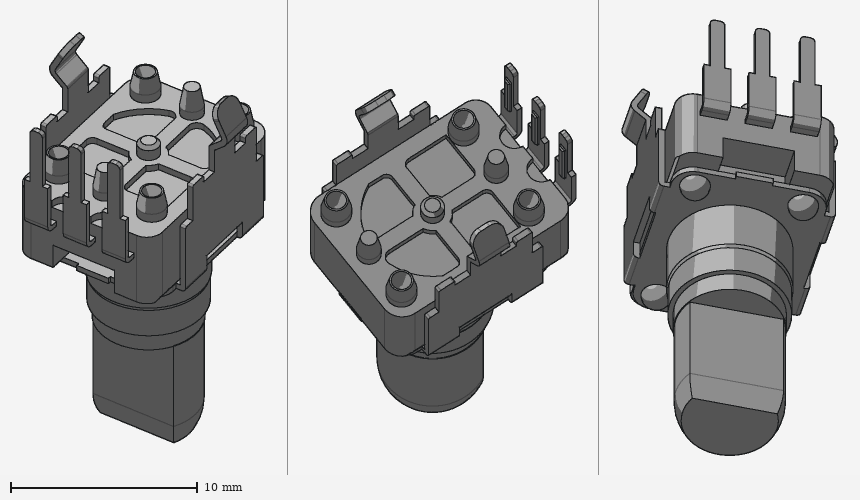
import cadquery as cq
import math


body_half_width = 4.4
body_back = 5.5
body_front = -6.3
body_top = 4.9
back_corner_radius = 1.2
front_corner_radius = 1.0
side_bevel_width = 0.15
side_bevel_height = 0.21
front_notch_half_width = 1.98
front_notch_top = 1.88
front_notch_depth = 2.0
scallop_radius = 0.79
scallop_depth = 0.45

pocket_depth = 0.4
pocket_floor = body_top - pocket_depth
rib_half_width = 0.48
pocket_outer_x = 3.43
pocket_front_y = 3.35
pocket_rim_radius = 3.85
hub_radius = 1.07
pocket_corner_radius = 0.4
pocket_rib_end_radius = 0.5

post_x = 3.0
post_y = 4.21
post_base_top = 5.45
post_radius = 0.83
post_tip_radius = 0.65
post_top = 6.4
post_pit_radius = 0.55
post_pit_depth = 0.95
peg_radius = 0.67
peg_tip_radius = 0.45
peg_top = 6.69
hub_pin_radius = 0.65
hub_pin_top = 5.78
hub_pin_chamfer = 0.21
rivet_radius = 0.83
rivet_head_height = 0.79

sheet = 0.35
plate_half_width = 4.28
plate_half_length = 5.25
plate_corner_radius = 1.2
tab_half_width = 1.02
tab_half_length = 5.45
clip_inner_x = 4.55
clip_half_length = 3.78
clip_shoulder_top = 4.45
ear_half_span = 3.1
ear_inner_y = 2.02
ear_top = 6.83
ear_root = 6.4
clip_corner_radius = 0.12
tongue_half_width = 1.0
tongue_tip_radius = 0.71
tongue_top = 10.65
knee_height = 8.05
crook_x = 5.43
crook_height = 8.8
tongue_lean = math.radians(27.4)
crook_inner_radius = 0.24
clip_foot_radius = 0.29
knee_inner_radius = 0.2
window_half_length = 1.74
window_top = 1.17

terminal_pitch = 2.5
terminal_sheet = 0.3
terminal_face_y = -7.16
terminal_bottom = 3.3
terminal_bend_radius = 0.48
terminal_wide = 1.5
terminal_narrow = 0.8
terminal_shoulder = 6.4
terminal_top = 9.97
terminal_tip_radius = 0.29
stiffener_width = 0.48
stiffener_height = 0.2
stiffener_bottom = 5.57
stiffener_top = 8.75
stiffener_chamfer = 0.1

bushing_radius = 3.4
bushing_step = 0.07
bushing_bevel_top = -3.02
bushing_bevel_bottom = -3.24
bushing_bottom = -4.97
collar_radius = 3.05
collar_bottom = -6.16
shaft_radius = 3.0
shaft_flat_y = -1.5
shaft_round_start = -11.69
overall_height = 23.8
shaft_bottom = tongue_top - overall_height

overcut = 0.24


def block(x_min, x_max, y_min, y_max, z_min, z_max):
    """Box given by its limits along each axis."""
    size = (x_max - x_min, y_max - y_min, z_max - z_min)
    return cq.Workplane("XY").box(*size, centered=False).translate((x_min, y_min, z_min))


def turned(profile, x=0.0, y=0.0):
    """Solid of revolution about a vertical axis from (radius, height) points."""
    return cq.Workplane("XZ").polyline(profile).close().revolve(360, (0, 0), (0, 1)).translate((x, y, 0))


def both_sides(solid):
    """Solid joined with its mirror image across the YZ plane."""
    return solid.union(solid.mirror("YZ"))


def make_body():
    body = block(-body_half_width, body_half_width, body_front, body_back, sheet, body_top)
    body = body.edges("|Z and >Y").fillet(back_corner_radius)
    body = body.edges("|Z and <Y").fillet(front_corner_radius)

    bevel = (
        cq.Workplane("XZ", origin=(0, body_back, 0))
        .moveTo(body_half_width, sheet)
        .lineTo(body_half_width, sheet + side_bevel_height)
        .lineTo(body_half_width - side_bevel_width, sheet)
        .close()
        .extrude(body_back - body_front)
    )
    body = body.cut(both_sides(bevel))

    notch = block(
        -front_notch_half_width, front_notch_half_width,
        body_front, body_front + front_notch_depth,
        sheet, front_notch_top,
    )
    scallops = (
        cq.Workplane("XY", origin=(0, 0, body_top - scallop_depth))
        .pushPoints([(side * terminal_pitch / 2, body_front) for side in (-1, 1)])
        .circle(scallop_radius)
        .extrude(scallop_depth)
    )
    return body.cut(notch).cut(scallops)


def make_pockets():
    """Four pockets that leave a cross of ribs with a round hub at its centre."""
    def disc(radius):
        return cq.Workplane("XY", origin=(0, 0, pocket_floor)).circle(radius).extrude(pocket_depth)

    def quadrant(y_min, y_max):
        return block(rib_half_width, pocket_outer_x, y_min, y_max, pocket_floor, body_top)

    back = quadrant(rib_half_width, pocket_rim_radius).intersect(disc(pocket_rim_radius))
    rib_end_y = math.sqrt(pocket_rim_radius**2 - rib_half_width**2)
    rib_end = cq.NearestToPointSelector((rib_half_width, rib_end_y, pocket_floor + pocket_depth / 2))
    back = back.edges(rib_end).fillet(pocket_rib_end_radius)
    back = back.edges("|Z and >X and <Y").fillet(pocket_corner_radius)

    front = quadrant(-pocket_front_y, -rib_half_width)
    front = front.edges("|Z and <X and <Y").fillet(pocket_corner_radius)
    front = front.edges("|Z and >X and >Y").fillet(pocket_corner_radius)
    return both_sides(back.union(front).cut(disc(hub_radius)))


def make_post(x, y):
    """Tapered hollow post with a conical pit in its top."""
    return turned(
        [
            (0, pocket_floor),
            (post_radius, pocket_floor),
            (post_radius, post_base_top),
            (post_tip_radius, post_top),
            (post_pit_radius, post_top),
            (0, post_top - post_pit_depth),
        ],
        x, y,
    )


def make_peg(y):
    """Tapered solid peg on the centre line."""
    return turned(
        [
            (0, pocket_floor),
            (peg_radius, pocket_floor),
            (peg_radius, post_base_top),
            (peg_tip_radius, peg_top),
            (0, peg_top),
        ],
        0, y,
    )


def make_hub_pin():
    pin = cq.Workplane("XY", origin=(0, 0, pocket_floor)).circle(hub_pin_radius)
    pin = pin.extrude(hub_pin_top - pocket_floor)
    return pin.faces(">Z").chamfer(hub_pin_chamfer)


def make_rivet(x, y):
    """Ball-shaped rivet head, its upper part buried in the plate."""
    return cq.Workplane("XY").sphere(rivet_radius).translate((x, y, rivet_radius - rivet_head_height))


def make_plate():
    plate = block(-plate_half_width, plate_half_width, -plate_half_length, plate_half_length, 0, sheet)
    plate = plate.edges("|Z").fillet(plate_corner_radius)
    end_tabs = block(-tab_half_width, tab_half_width, -tab_half_length, tab_half_length, 0, sheet)
    side_flanges = block(-clip_inner_x, clip_inner_x, -clip_half_length, clip_half_length, 0, sheet)
    return plate.union(end_tabs).union(side_flanges)


def make_clip():
    """Bent sheet clip on the +X side: a bent strip trimmed to its side outline."""
    outer_x = clip_inner_x + sheet
    rise_angle = math.atan2(crook_x - clip_inner_x, crook_height - knee_height)
    knee_drop = sheet * math.tan(rise_angle / 2)
    across = (math.cos(tongue_lean), math.sin(tongue_lean))
    tip_z = tongue_top - sheet * across[1]
    tip_x = crook_x - (tip_z - crook_height) * math.tan(tongue_lean)
    half_turn = (rise_angle + tongue_lean) / 2
    miter = sheet / math.cos(half_turn)
    miter_angle = (tongue_lean - rise_angle) / 2
    outer_crook = (
        crook_x + miter * math.cos(miter_angle),
        crook_height + miter * math.sin(miter_angle),
    )

    strip = (
        cq.Workplane("XZ", origin=(0, clip_half_length, 0))
        .polyline(
            [
                (clip_inner_x, 0),
                (clip_inner_x, knee_height),
                (crook_x, crook_height),
                (tip_x, tip_z),
                (tip_x + sheet * across[0], tongue_top),
                outer_crook,
                (outer_x, knee_height - knee_drop),
                (outer_x, 0),
            ]
        )
        .close()
        .extrude(2 * clip_half_length)
    )
    bends = [
        (outer_x, 0, clip_foot_radius),
        (clip_inner_x, knee_height, knee_inner_radius),
        (crook_x, crook_height, crook_inner_radius),
        (*outer_crook, crook_inner_radius + sheet),
    ]
    for bend_x, bend_z, bend_radius in bends:
        bend_edge = cq.NearestToPointSelector((bend_x, 0, bend_z))
        strip = strip.edges(bend_edge).fillet(bend_radius)

    def side_panel(half_length, z_min, z_max):
        return block(clip_inner_x, outer_x, -half_length, half_length, z_min, z_max)

    base = side_panel(clip_half_length, 0, clip_shoulder_top)
    base = base.edges("|X and >Z").fillet(clip_corner_radius)
    ears = side_panel(ear_half_span, 0, ear_top).cut(side_panel(ear_inner_y, ear_root, ear_top))
    ears = ears.edges("|X and >Z").fillet(clip_corner_radius)
    tongue = block(
        clip_inner_x - overcut, outer_crook[0],
        -tongue_half_width, tongue_half_width,
        0, tongue_top,
    )
    clip = strip.intersect(base.union(ears).union(tongue))
    tip_edges = cq.selectors.ParallelDirSelector(cq.Vector(across[0], 0, across[1]))
    clip = clip.edges(tip_edges).fillet(tongue_tip_radius)
    return clip.cut(side_panel(window_half_length, 0, window_top))


def make_terminal(x):
    """L-shaped sheet terminal with a wide foot, a narrow pin and a stiffening rib behind it."""
    inner_y = terminal_face_y + terminal_sheet
    strip = (
        cq.Workplane("YZ", origin=(-terminal_wide / 2, 0, 0))
        .polyline(
            [
                (body_front + overcut, terminal_bottom),
                (terminal_face_y, terminal_bottom),
                (terminal_face_y, terminal_top),
                (inner_y, terminal_top),
                (inner_y, terminal_bottom + terminal_sheet),
                (body_front + overcut, terminal_bottom + terminal_sheet),
            ]
        )
        .close()
        .extrude(terminal_wide)
    )
    strip = strip.edges("|X and <Y and <Z").fillet(terminal_bend_radius)
    strip = strip.edges(
        cq.NearestToPointSelector((0, inner_y, terminal_bottom + terminal_sheet))
    ).fillet(terminal_bend_radius - terminal_sheet)

    for side in (-1, 1):
        x_limits = sorted((side * terminal_narrow / 2, side * terminal_wide / 2))
        strip = strip.cut(
            block(*x_limits, terminal_face_y, inner_y, terminal_shoulder, terminal_top)
        )
    strip = strip.edges("|Y and >Z").fillet(terminal_tip_radius)

    stiffener = block(
        -stiffener_width / 2, stiffener_width / 2,
        inner_y, inner_y + stiffener_height,
        stiffener_bottom, stiffener_top,
    )
    stiffener = stiffener.faces(">Y").chamfer(stiffener_chamfer)
    return strip.union(stiffener).translate((x, 0, 0))


def make_bushing():
    lower_radius = bushing_radius - bushing_step
    return turned(
        [
            (0, 0),
            (bushing_radius, 0),
            (bushing_radius, bushing_bevel_top),
            (lower_radius, bushing_bevel_bottom),
            (lower_radius, bushing_bottom),
            (collar_radius, bushing_bottom),
            (collar_radius, collar_bottom),
            (0, collar_bottom),
        ]
    )


def make_shaft():
    """Round shaft with a spherical end and one flat that curves in by the same radius."""
    def rounding_inset(drop):
        return shaft_radius - math.sqrt(shaft_radius**2 - drop**2)

    end_drop = shaft_round_start - shaft_bottom
    end_inset = rounding_inset(end_drop)
    middle_inset = rounding_inset(end_drop / 2)
    middle_z = shaft_round_start - end_drop / 2

    shaft = (
        cq.Workplane("XZ")
        .moveTo(0, collar_bottom)
        .lineTo(shaft_radius, collar_bottom)
        .lineTo(shaft_radius, shaft_round_start)
        .threePointArc((shaft_radius - middle_inset, middle_z), (shaft_radius - end_inset, shaft_bottom))
        .lineTo(0, shaft_bottom)
        .close()
        .revolve(360, (0, 0), (0, 1))
    )
    flat = (
        cq.Workplane("YZ", origin=(-shaft_radius, 0, 0))
        .moveTo(-shaft_radius - overcut, collar_bottom)
        .lineTo(shaft_flat_y, collar_bottom)
        .lineTo(shaft_flat_y, shaft_round_start)
        .threePointArc((shaft_flat_y + middle_inset, middle_z), (shaft_flat_y + end_inset, shaft_bottom))
        .lineTo(-shaft_radius - overcut, shaft_bottom)
        .close()
        .extrude(2 * shaft_radius)
    )
    return shaft.cut(flat)


result = make_body().cut(make_pockets())
result = result.union(make_plate()).union(both_sides(make_clip()))
result = result.union(make_bushing()).union(make_shaft()).union(make_hub_pin())
for y_side in (-1, 1):
    result = result.union(make_peg(y_side * post_y))
    for x_side in (-1, 1):
        result = result.union(make_post(x_side * post_x, y_side * post_y))
        result = result.union(make_rivet(x_side * post_x, y_side * post_y))
for position in (-1, 0, 1):
    result = result.union(make_terminal(position * terminal_pitch))